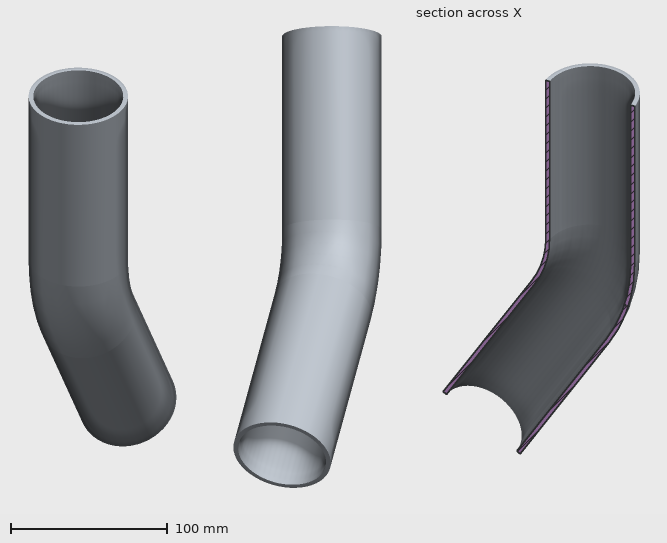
import cadquery as cq
import math

total_height = 303.7
outer_diameter = 63.5
inner_diameter = 57.5
bend_radius = 105.0
bend_angle = 30.0

outer_radius = outer_diameter / 2
bend_sin = math.sin(math.radians(bend_angle))
bend_cos = math.cos(math.radians(bend_angle))
bend_height = (bend_radius + outer_radius) * bend_sin
leg_length = (total_height - bend_height) / (1 + bend_cos)


def ring():
    """Tube cross-section at the start of the bend, in the XY plane."""
    return cq.Workplane("XY").circle(outer_radius).circle(inner_diameter / 2)


upper_leg = ring().extrude(leg_length)

bend_axis_start = (0, bend_radius, 0)
bend_axis_end = (1, bend_radius, 0)
bend = ring().revolve(bend_angle, bend_axis_start, bend_axis_end)

lower_leg = ring().extrude(-leg_length).rotate(bend_axis_start, bend_axis_end, bend_angle)

result = upper_leg.union(bend).union(lower_leg)